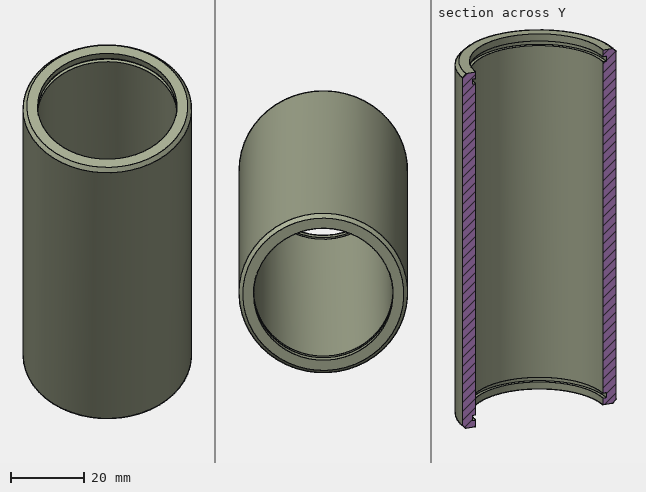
import cadquery as cq

length = 105.0
outer_diameter = 46.0
bore_diameter = 38.0
end_chamfer = 1.0

groove_offset = 2.1
groove_width = 1.4
groove_depth = 0.9


def make_sleeve():
    """Upright tube with its outer end edges chamfered."""
    body = cq.Workplane("XY").circle(outer_diameter / 2).extrude(length)
    body = body.faces("<Z or >Z").edges().chamfer(end_chamfer)
    bore = cq.Workplane("XY").circle(bore_diameter / 2).extrude(length)
    return body.cut(bore)


def make_groove(bottom):
    """Disc that cuts a ring groove into the bore wall."""
    groove_radius = bore_diameter / 2 + groove_depth
    return cq.Workplane("XY").workplane(offset=bottom).circle(groove_radius).extrude(groove_width)


result = make_sleeve()
for groove_bottom in (groove_offset, length - groove_offset - groove_width):
    result = result.cut(make_groove(groove_bottom))